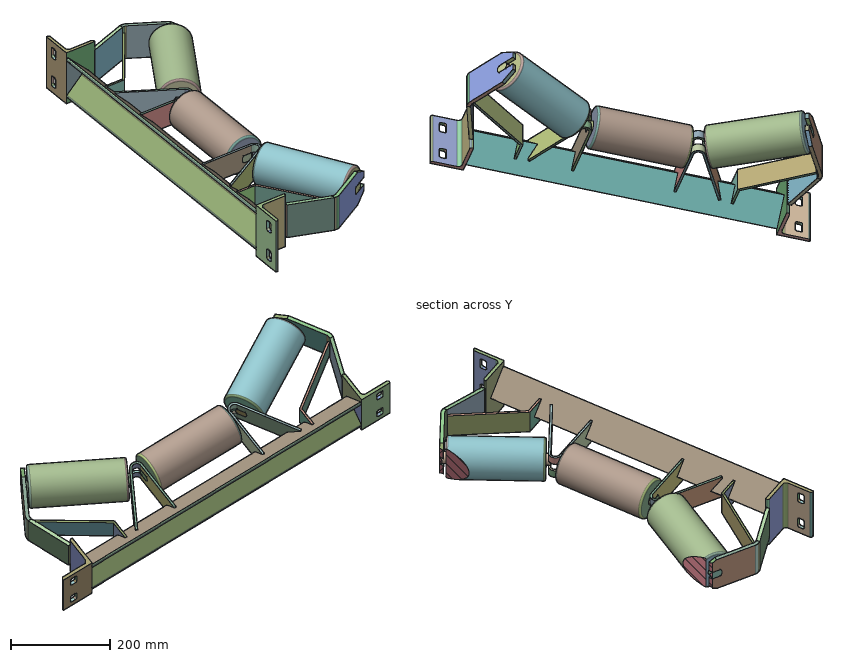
import cadquery as cq
import math


ANGLE_LEG = 70.0
ANGLE_THICKNESS = 7.0
ROOT_RADIUS = 8.0
TOE_RADIUS = 4.0
OVERALL_LENGTH = 800.0
FOOT_DEPTH = 125.0
FOOT_INNER_X = OVERALL_LENGTH / 2 - ANGLE_LEG
RIDGE_HEIGHT = (ANGLE_LEG + ANGLE_THICKNESS) / math.sqrt(2) - (math.sqrt(2) - 1) * TOE_RADIUS

SLOT_WIDTH = 15.0
SLOT_HEIGHT = 25.0
SLOT_CORNER_RADIUS = 4.0
SLOT_EDGE_DISTANCE = 25.0
SLOT_SPACING = 70.0

ROLLER_DIAMETER = 89.0
ROLLER_LENGTH = 202.0
ROLLER_EDGE_RADIUS = 4.0
ROLLER_GAP = 5.0
SHAFT_DIAMETER = 25.0
SHAFT_FLAT_WIDTH = 18.0
CENTRE_ROLLER_HEIGHT = 134.0
SIDE_ROLLER_X = 229.0
SIDE_ROLLER_HEIGHT = 197.0
TROUGH_ANGLE = 30.0
SEAT_DISTANCE = ROLLER_LENGTH / 2 + ROLLER_GAP

ARM_THICKNESS = 8.0
ARM_WIDTH = 80.0
ARM_REACH = 30.0
ARM_CORNER_WIDTH = 17.0
ARM_BEND_RADIUS = 16.0
ARM_OUTER_X = -374.0
ARM_BOTTOM_HEIGHT = 163.0
POST_LEAN = 20.0

PLATE_THICKNESS = 5.0
PLATE_WIDTH = 54.0
PLATE_FOOT_HEIGHT = RIDGE_HEIGHT - PLATE_WIDTH / 2
BRACKET_BEND_RADIUS = 14.0
BRACKET_LEG_LENGTH = 132.0
STRUT_OUTER_X = -226.0
STRUT_BEND_HEIGHT = 70.0
STRUT_TOP_X = -362.0
STRUT_TOP_HEIGHT = 166.0

MIRROR_PLANE = "YZ"


def offset_point(start, angle, distance):
    """Point at a distance from start, in the direction of an angle from +X."""
    turn = math.radians(angle)
    return (start[0] + distance * math.cos(turn), start[1] + distance * math.sin(turn))


def point_at_x(start, angle, x):
    """Point with a given X on the line through start at an angle from +X."""
    return (x, start[1] + (x - start[0]) * math.tan(math.radians(angle)))


def point_at_y(start, angle, y):
    """Point with a given Y on the line through start at an angle from +X."""
    return (start[0] + (y - start[1]) / math.tan(math.radians(angle)), y)


def plate(points, depth):
    """Closed outline in XY, extruded evenly to both sides of Z = 0."""
    return cq.Workplane("XY").polyline(points).close().extrude(depth / 2, both=True)


def angle_section(length):
    """Angle bar along Z with its outer corner at the origin and legs along -X and +Y."""
    bar = plate(
        [
            (0, 0),
            (0, ANGLE_LEG),
            (-ANGLE_THICKNESS, ANGLE_LEG),
            (-ANGLE_THICKNESS, ANGLE_THICKNESS),
            (-ANGLE_LEG, ANGLE_THICKNESS),
            (-ANGLE_LEG, 0),
        ],
        length,
    )
    root = cq.selectors.NearestToPointSelector((-ANGLE_THICKNESS, ANGLE_THICKNESS, 0))
    bar = bar.edges("|Z").edges(root).fillet(ROOT_RADIUS)
    for toe in [(-ANGLE_THICKNESS, ANGLE_LEG, 0), (-ANGLE_LEG, ANGLE_THICKNESS, 0)]:
        bar = bar.edges("|Z").edges(cq.selectors.NearestToPointSelector(toe)).fillet(TOE_RADIUS)
    return bar


def place_side(body):
    """Move a body from the roller's own axes (shaft along X) to the -X side roller."""
    return body.rotate((0, 0, 0), (0, 0, 1), -TROUGH_ANGLE).translate((-SIDE_ROLLER_X, SIDE_ROLLER_HEIGHT, 0))


def place_centre(body):
    return body.translate((0, CENTRE_ROLLER_HEIGHT, 0))


SIDE_CENTRE = (-SIDE_ROLLER_X, SIDE_ROLLER_HEIGHT)
AXIS_OUTWARD = 180 - TROUGH_ANGLE
AXIS_INWARD = -TROUGH_ANGLE
PLATE_UPWARD = 90 - TROUGH_ANGLE


def cylinder(diameter, start, end):
    """Round bar along the shaft axis between two X positions."""
    return cq.Workplane("ZY", origin=(end, 0, 0)).circle(diameter / 2).extrude(end - start)


def make_roller():
    half = ROLLER_LENGTH / 2
    roller = cylinder(ROLLER_DIAMETER, -half, half).edges("%CIRCLE").fillet(ROLLER_EDGE_RADIUS)
    return roller.cut(cylinder(SHAFT_DIAMETER, -half, half))


def flat_block(start, end, height):
    """Block between two X positions, as wide as the shaft across its flats, centred on the axis."""
    return cq.Workplane("XY").box(end - start, height, SHAFT_FLAT_WIDTH).translate(((start + end) / 2, 0, 0))


def make_shaft(left_plate, right_plate):
    """Shaft with flats where it sits in the plates, its ends flush with their far faces."""
    left_end = -SEAT_DISTANCE - left_plate
    right_end = SEAT_DISTANCE + right_plate
    round_part = cylinder(SHAFT_DIAMETER, -SEAT_DISTANCE, SEAT_DISTANCE)
    flat_part = cylinder(SHAFT_DIAMETER, left_end, right_end)
    return round_part.union(flat_part.intersect(flat_block(left_end, right_end, SHAFT_DIAMETER)))


def shaft_seat(start, end, height):
    """Cutter for a plate: round-bottomed slot that holds the flats and is open upward."""
    upper = cq.Workplane("XY").box(end - start, height, SHAFT_FLAT_WIDTH)
    upper = upper.translate(((start + end) / 2, height / 2, 0))
    bottom = cylinder(SHAFT_DIAMETER, start, end)
    return upper.union(bottom.intersect(flat_block(start, end, SHAFT_DIAMETER)))


def make_arm():
    """Plate square to the side shaft, bent upright at the bottom, with cut top corners."""
    outer = offset_point(SIDE_CENTRE, AXIS_OUTWARD, SEAT_DISTANCE + ARM_THICKNESS)
    inner = offset_point(SIDE_CENTRE, AXIS_OUTWARD, SEAT_DISTANCE)
    inner_x = ARM_OUTER_X + ARM_THICKNESS
    outer_bend = point_at_x(outer, PLATE_UPWARD, ARM_OUTER_X)
    inner_bend = point_at_x(inner, PLATE_UPWARD, inner_x)
    arm = plate(
        [
            (ARM_OUTER_X, ARM_BOTTOM_HEIGHT),
            outer_bend,
            offset_point(outer, PLATE_UPWARD, ARM_REACH),
            offset_point(inner, PLATE_UPWARD, ARM_REACH),
            inner_bend,
            (inner_x, ARM_BOTTOM_HEIGHT),
        ],
        ARM_WIDTH,
    )
    for bend, radius in [(outer_bend, ARM_BEND_RADIUS), (inner_bend, ARM_BEND_RADIUS - ARM_THICKNESS)]:
        arm = arm.edges("|Z").edges(cq.selectors.NearestToPointSelector((*bend, 0))).fillet(radius)

    far_face = -SEAT_DISTANCE - ARM_THICKNESS
    half_width = ARM_WIDTH / 2
    corner = (
        cq.Workplane("YZ", origin=(far_face, 0, 0))
        .polyline([(0, half_width), (ARM_REACH, half_width), (ARM_REACH, half_width - ARM_CORNER_WIDTH)])
        .close()
        .extrude(ARM_THICKNESS)
    )
    cutters = corner.union(corner.mirror("XY")).union(shaft_seat(far_face, -SEAT_DISTANCE, ARM_REACH))
    return arm.cut(place_side(cutters))


def make_beam():
    """Angle bar along X with its ridge up."""
    beam = angle_section(2 * FOOT_INNER_X).rotate((0, 0, 0), (0, 0, 1), 135)
    return beam.rotate((0, 0, 0), (0, 1, 0), 90).translate((0, RIDGE_HEIGHT, 0))


def beam_envelope():
    """Everything below the two outer slopes of the beam, for trimming the plates that stand on it."""
    return (
        cq.Workplane("YZ")
        .polyline([(RIDGE_HEIGHT, 0), (0, -RIDGE_HEIGHT), (0, RIDGE_HEIGHT)])
        .close()
        .extrude(FOOT_INNER_X, both=True)
    )


def make_foot():
    foot = angle_section(FOOT_DEPTH).translate((-FOOT_INNER_X, 0, 0))
    slots = (
        cq.Workplane("XZ", origin=(-OVERALL_LENGTH / 2 + SLOT_EDGE_DISTANCE, 0, 0))
        .pushPoints([(0, -SLOT_SPACING / 2), (0, SLOT_SPACING / 2)])
        .rect(SLOT_WIDTH, SLOT_HEIGHT)
        .extrude(-ANGLE_THICKNESS)
        .edges("|Y")
        .fillet(SLOT_CORNER_RADIUS)
    )
    return foot.cut(slots)


def make_post():
    """Leaning bar from the top of the foot to the bottom of the arm."""
    lean_angle = 90 + POST_LEAN
    width = ARM_THICKNESS / math.cos(math.radians(POST_LEAN))
    outer_top = (ARM_OUTER_X, ARM_BOTTOM_HEIGHT)
    inner_top = (ARM_OUTER_X + width, ARM_BOTTOM_HEIGHT)
    outer_bottom = point_at_y(outer_top, lean_angle, ANGLE_LEG)
    inner_bottom = point_at_y(inner_top, lean_angle, ANGLE_LEG)
    return plate([outer_top, inner_top, inner_bottom, outer_bottom], ARM_WIDTH)


def make_strut():
    """Bent plate from the beam up to the top of the post."""
    top = (STRUT_TOP_X, STRUT_TOP_HEIGHT)
    bend = (STRUT_OUTER_X, STRUT_BEND_HEIGHT)
    slope = math.degrees(math.atan2(top[1] - bend[1], top[0] - bend[0]))
    lower_top = offset_point(top, slope + 90, PLATE_THICKNESS)
    inner_x = STRUT_OUTER_X - PLATE_THICKNESS
    return plate(
        [
            top,
            bend,
            (STRUT_OUTER_X, PLATE_FOOT_HEIGHT),
            (inner_x, PLATE_FOOT_HEIGHT),
            point_at_x(lower_top, slope, inner_x),
            lower_top,
        ],
        PLATE_WIDTH,
    )


def make_bracket():
    """Plate folded over between the centre and side rollers, carrying one shaft end of each."""
    side_face = offset_point(SIDE_CENTRE, AXIS_INWARD, SEAT_DISTANCE)
    side_back = offset_point(SIDE_CENTRE, AXIS_INWARD, SEAT_DISTANCE + PLATE_THICKNESS)
    centre_face_x = -SEAT_DISTANCE
    centre_back_x = centre_face_x - PLATE_THICKNESS
    outer_peak = point_at_x(side_face, PLATE_UPWARD, centre_face_x)
    inner_peak = point_at_x(side_back, PLATE_UPWARD, centre_back_x)
    bracket = plate(
        [
            offset_point(side_face, PLATE_UPWARD, -BRACKET_LEG_LENGTH),
            outer_peak,
            (centre_face_x, PLATE_FOOT_HEIGHT),
            (centre_back_x, PLATE_FOOT_HEIGHT),
            inner_peak,
            offset_point(side_back, PLATE_UPWARD, -BRACKET_LEG_LENGTH),
        ],
        PLATE_WIDTH,
    )
    inner_radius = BRACKET_BEND_RADIUS - PLATE_THICKNESS
    for peak, radius in [(inner_peak, inner_radius), (outer_peak, BRACKET_BEND_RADIUS)]:
        bracket = bracket.edges("|Z").edges(cq.selectors.NearestToPointSelector((*peak, 0))).fillet(radius)

    seat_height = 2 * BRACKET_BEND_RADIUS
    back = SEAT_DISTANCE + PLATE_THICKNESS
    side_seat = place_side(shaft_seat(SEAT_DISTANCE, back, seat_height))
    centre_seat = place_centre(shaft_seat(-back, -SEAT_DISTANCE, seat_height))
    fold_bottom = CENTRE_ROLLER_HEIGHT + SHAFT_DIAMETER / 2
    fold_slot = plate(
        [
            point_at_y(side_face, PLATE_UPWARD, fold_bottom),
            outer_peak,
            (centre_face_x, fold_bottom),
        ],
        SHAFT_FLAT_WIDTH,
    )
    return bracket.cut(side_seat).cut(centre_seat).cut(fold_slot)


def make_frame():
    envelope = beam_envelope()
    strut = make_strut().cut(envelope)
    bracket = make_bracket().cut(envelope)
    frame = make_beam()
    for member in [make_foot(), make_post(), strut, bracket]:
        frame = frame.union(member).union(member.mirror(MIRROR_PLANE))
    return frame


frame = make_frame()

left_arm = make_arm()
arms = [left_arm, left_arm.mirror(MIRROR_PLANE)]

side_roller = place_side(make_roller())
rollers = [side_roller, place_centre(make_roller()), side_roller.mirror(MIRROR_PLANE)]

side_shaft = place_side(make_shaft(ARM_THICKNESS, PLATE_THICKNESS))
centre_shaft = place_centre(make_shaft(PLATE_THICKNESS, PLATE_THICKNESS))
shafts = [side_shaft, centre_shaft, side_shaft.mirror(MIRROR_PLANE)]

result = cq.Compound.makeCompound([body.solids().val() for body in [frame, *arms, *rollers, *shafts]])